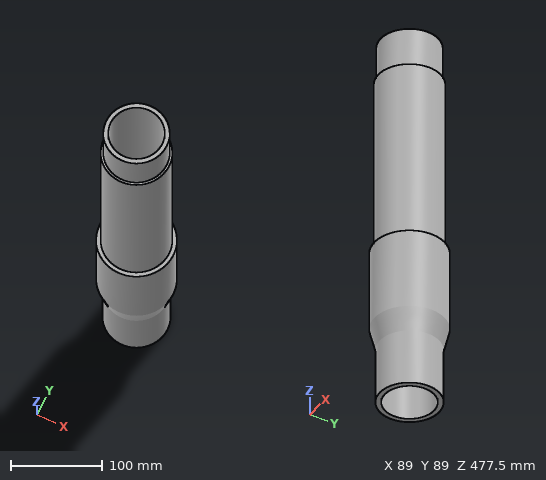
import cadquery as cq

inlet_diameter = 75.0
collar_diameter = 89.0
barrel_diameter = 79.0
spigot_diameter = 73.0
bore_diameter = 62.0

total_length = 477.5
inlet_top = 70.0
taper_top = 98.5
collar_top = 200.0
barrel_top = 428.0

tube_section = [
    (bore_diameter / 2, 0),
    (inlet_diameter / 2, 0),
    (inlet_diameter / 2, inlet_top),
    (collar_diameter / 2, taper_top),
    (collar_diameter / 2, collar_top),
    (barrel_diameter / 2, collar_top),
    (barrel_diameter / 2, barrel_top),
    (spigot_diameter / 2, barrel_top),
    (spigot_diameter / 2, total_length),
    (bore_diameter / 2, total_length),
]
result = cq.Workplane("XZ").polyline(tube_section).close().revolve(360, (0, 0), (0, 1))